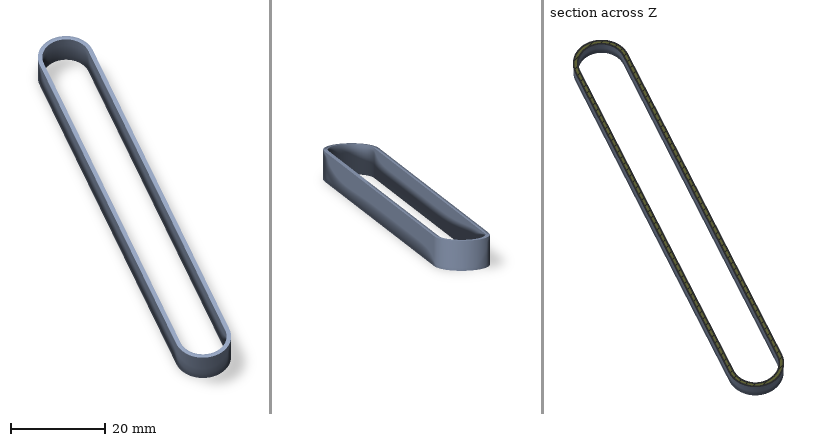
import cadquery as cq

length = 96.0
width = 12.0
height = 6.5
wall = 1.0


def stadium_prism(prism_length, prism_width):
    """Vertical prism with straight sides and semicircular ends."""
    return cq.Workplane("XY").slot2D(prism_length, prism_width).extrude(height)


outer_body = stadium_prism(length, width)
opening = stadium_prism(length - 2 * wall, width - 2 * wall)

result = outer_body.cut(opening)